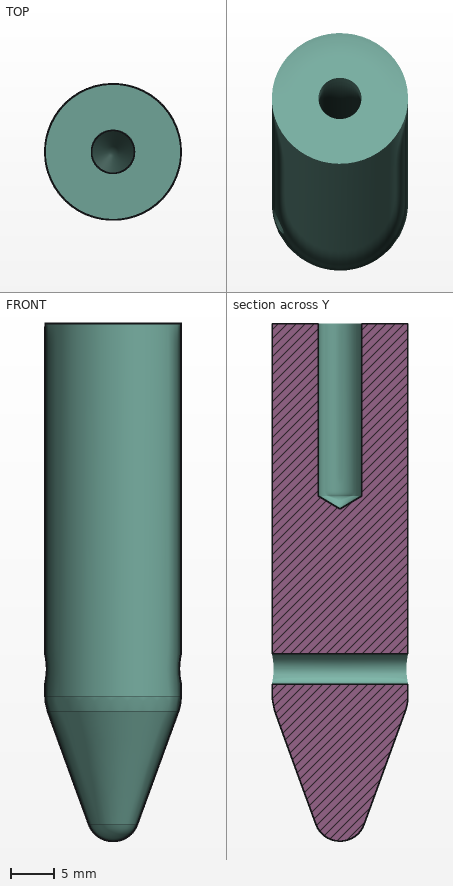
import cadquery as cq
import math

length = 60.0
body_radius = 15.8 / 2

cone_angle = math.radians(20.0)
tip_radius = 3.0
shoulder_radius = 5.0

bore_radius = 5.0 / 2
bore_depth = 20.0
drill_point_angle = math.radians(118.0)

cross_hole_diameter = 3.5
cross_hole_height = 20.0


def arc_point(center_z, center_r, radius, angle):
    """Point (r, z) on an arc, with the angle measured up from the radial direction."""
    return (center_r + radius * math.cos(angle), center_z + radius * math.sin(angle))


def make_body():
    tip_end = arc_point(tip_radius, 0, tip_radius, -cone_angle)
    tip_middle = arc_point(tip_radius, 0, tip_radius, -(math.pi / 2 + cone_angle) / 2)

    shoulder_center_r = body_radius - shoulder_radius
    cone_end_r = shoulder_center_r + shoulder_radius * math.cos(cone_angle)
    cone_end_z = tip_end[1] + (cone_end_r - tip_end[0]) / math.tan(cone_angle)
    shoulder_z = cone_end_z + shoulder_radius * math.sin(cone_angle)
    shoulder_middle = arc_point(shoulder_z, shoulder_center_r, shoulder_radius, -cone_angle / 2)

    return (
        cq.Workplane("XZ")
        .moveTo(0, 0)
        .threePointArc(tip_middle, tip_end)
        .lineTo(cone_end_r, cone_end_z)
        .threePointArc(shoulder_middle, (body_radius, shoulder_z))
        .lineTo(body_radius, length)
        .lineTo(0, length)
        .close()
        .revolve(360, (0, 0, 0), (0, 1, 0))
    )


def make_bore():
    bore_floor_z = length - bore_depth
    point_depth = bore_radius / math.tan(drill_point_angle / 2)
    return (
        cq.Workplane("XZ")
        .moveTo(0, length)
        .lineTo(bore_radius, length)
        .lineTo(bore_radius, bore_floor_z)
        .lineTo(0, bore_floor_z - point_depth)
        .close()
        .revolve(360, (0, 0, 0), (0, 1, 0))
    )


def make_cross_hole():
    return (
        cq.Workplane("YZ")
        .center(0, cross_hole_height)
        .circle(cross_hole_diameter / 2)
        .extrude(body_radius, both=True)
    )


result = make_body().cut(make_bore()).cut(make_cross_hole())